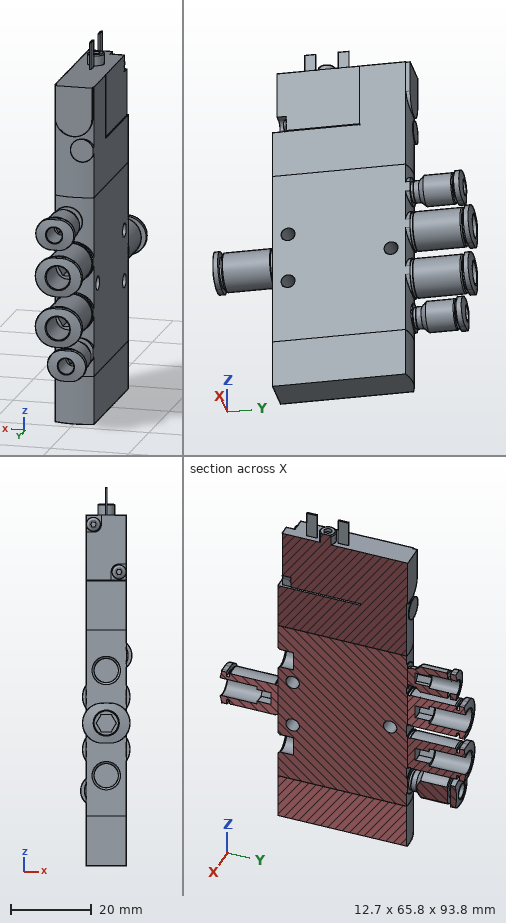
import cadquery as cq
import math


width = 9.9
half_width = width / 2
side_depth = 33.7
crown_depth = 34.6
seat_depth = 34.8
cap_top = 12.4
valve_top = 58.4
ledge_z = 70.6
head_top = 86.95
pin_top = 93.8
valve_mid_z = (cap_top + valve_top) / 2

port_pitch = 13.0
half_pitch = port_pitch / 2
outer_port_offset = 16.8
outer_port_shift = 1.5
port_diameter = 6.0
port_mouth_diameter = 7.0
port_depth = 4.0
port_mouth_depth = (port_mouth_diameter - port_diameter) / 2
large_boss_diameter = 10.2
small_boss_diameter = 7.4
rear_boss_embed = 0.9
mount_hole_diameter = 3.5
mount_front_y = 3.9
mount_rear_y = 30.0

coil_front_y = 1.1
coil_rear_y = 22.0
coil_gap = 0.3
coil_side_relief = 0.05
pad_half_width = half_width - 0.3
pad_round_z = 78.8
override_diameter = 5.9
override_x = -2.2
screw_inset_x = 1.8
screw_inset_z = 2.25
recess_radius = 2.0
recess_depth = 2.3
screw_diameter = 3.5
screw_height = 0.8
screw_dome = 0.75
socket_diameter = 1.4
socket_depth = 0.5
pin_length = pin_top - head_top
pin_width = 2.7
pin_thickness = 0.5
pin_pitch = 8.4
terminal_y = 12.8
boss_diameter = 4.2
boss_height = 2.8
boss_chamfer = 0.3
boss_hole_diameter = 2.0
boss_hole_depth = 0.9

large_length = 15.5
small_length = 13.2
collar_spread = 1.9
collar_taper = 0.4
hex_bottom = 1.9
bore_bottom = 5.6


def box(x_range, y_range, z_range):
    """A box between the given limits."""
    lows, highs = zip(x_range, y_range, z_range)
    sizes = [high - low for low, high in zip(lows, highs)]
    return cq.Workplane("XY").box(*sizes, centered=False).translate(lows)


def cylinder_y(diameter, x, z, y_start, y_end):
    """A cylinder along Y."""
    disc = cq.Workplane("XZ", origin=(x, y_start, z)).circle(diameter / 2)
    return disc.extrude(y_start - y_end)


def housing_block(z_low, z_high):
    """A slice of the housing with its crowned rear face."""
    return (
        cq.Workplane("XY", origin=(0, 0, z_low))
        .moveTo(-half_width, side_depth)
        .lineTo(-half_width, 0)
        .lineTo(half_width, 0)
        .lineTo(half_width, side_depth)
        .threePointArc((0, crown_depth), (-half_width, side_depth))
        .close()
        .extrude(z_high - z_low)
    )


def rear_boss(diameter, x, z):
    """A round boss on the rear face, cut flush with the housing's sides."""
    boss = cylinder_y(diameter, x, z, side_depth - rear_boss_embed, seat_depth)
    return boss.intersect(box((-half_width, half_width), (0, seat_depth), (0, head_top)))


def make_end_cap():
    return housing_block(0, cap_top)


def make_valve_block():
    block = housing_block(cap_top, valve_top)
    for side in (-1, 1):
        block = block.union(rear_boss(large_boss_diameter, 0, valve_mid_z + side * half_pitch))
        small_z = valve_mid_z + side * outer_port_offset
        block = block.union(rear_boss(small_boss_diameter, side * outer_port_shift, small_z))

    for side in (-1, 1):
        port_z = valve_mid_z + side * port_pitch
        block = block.cut(cylinder_y(port_diameter, 0, port_z, 0, port_depth))
        mouth = cq.Solid.makeCone(
            port_mouth_diameter / 2,
            port_diameter / 2,
            port_mouth_depth,
            pnt=cq.Vector(0, 0, port_z),
            dir=cq.Vector(0, 1, 0),
        )
        block = block.cut(cq.Workplane(mouth))

    holes = (
        cq.Workplane("YZ", origin=(-half_width, 0, 0))
        .pushPoints([
            (mount_front_y, valve_mid_z - half_pitch),
            (mount_front_y, valve_mid_z + half_pitch),
            (mount_rear_y, valve_mid_z),
        ])
        .circle(mount_hole_diameter / 2)
        .extrude(width)
    )
    return block.cut(holes)


def cover_screw():
    """A domed screw head with a hexagon socket, facing -Y from a base at y = 0."""
    head = cylinder_y(screw_diameter, 0, 0, -screw_height, 0).faces("<Y").edges().fillet(screw_dome)
    socket = cq.Workplane("XZ", origin=(0, -screw_height, 0)).polygon(6, socket_diameter)
    return head.cut(socket.extrude(-socket_depth))


def corner_recess():
    """A pocket round a screw at the origin, open to -X, +Z and the front."""
    x_range = (-screw_inset_x, recess_radius)
    pocket = box(x_range, (-recess_depth, 0), (-recess_radius, screw_inset_z))
    return pocket.edges("|Y and >X and <Z").fillet(recess_radius)


def make_pilot_head():
    head = housing_block(valve_top, head_top)

    head = head.cut(box((-half_width, half_width), (0, coil_front_y), (ledge_z, head_top)))
    head = head.cut(box((-half_width, half_width), (0, coil_rear_y), (ledge_z, ledge_z + coil_gap)))
    inner = half_width - coil_side_relief
    for x_range in ((-half_width, -inner), (inner, half_width)):
        head = head.cut(box(x_range, (0, coil_rear_y), (ledge_z, head_top)))

    head = head.cut(box((-half_width, half_width), (side_depth, seat_depth), (pad_round_z, head_top)))
    pad = box((-pad_half_width, pad_half_width), (side_depth, seat_depth), (pad_round_z, head_top))
    pad = pad.union(cylinder_y(2 * pad_half_width, 0, pad_round_z, side_depth, seat_depth))
    head = head.union(pad).union(rear_boss(override_diameter, override_x, ledge_z))

    face_mid_z = (ledge_z + head_top) / 2
    screw_place = (screw_inset_x - half_width, coil_front_y + recess_depth, head_top - screw_inset_z)
    for turn in (0, 180):
        axis = ((0, 0, face_mid_z), (0, 1, face_mid_z))
        head = head.cut(corner_recess().translate(screw_place).rotate(*axis, turn))
        head = head.union(cover_screw().translate(screw_place).rotate(*axis, turn))

    for side in (-1, 1):
        pin = cq.Workplane("XY", origin=(0, terminal_y + side * pin_pitch / 2, head_top))
        head = head.union(pin.rect(pin_thickness, pin_width).extrude(pin_length))
    boss = cq.Workplane("XY", origin=(0, terminal_y, head_top)).circle(boss_diameter / 2)
    boss = boss.extrude(boss_height).faces(">Z").chamfer(boss_chamfer)
    boss = boss.faces(">Z").workplane().hole(boss_hole_diameter, boss_hole_depth)
    return head.union(boss)


def fitting(outline, length, body_diameter, collar_start, bore, mouth, hex_flats):
    """A push-in fitting along +Y from its base at the origin.

    `outline` lists the (radius, height) corners of the sleeve from its base to the collar.
    """
    axis = ((0, 0), (0, 1))
    sleeve = cq.Workplane("XY").polyline([(0, 0), *outline, (0, collar_start)]).close()
    sleeve = sleeve.revolve(360, *axis)

    collar = cq.Workplane("XZ", origin=(0, collar_start, 0))
    collar = collar.slot2D(body_diameter + collar_spread, body_diameter)
    collar = collar.extrude(collar_start - length)
    rim_radius = mouth / 2
    slope = collar_taper / (body_diameter / 2 - rim_radius)
    cone_low = length - slope * (body_diameter - rim_radius)
    cone = (
        cq.Workplane("XY")
        .polyline([
            (0, 0),
            (body_diameter, 0),
            (body_diameter, cone_low),
            (rim_radius, length),
            (0, length),
        ])
        .close()
        .revolve(360, *axis)
    )
    solid = sleeve.union(collar.intersect(cone))

    mouth_depth = (mouth - bore) / 2
    bore_cut = (
        cq.Workplane("XY")
        .polyline([
            (0, bore_bottom),
            (bore / 2, bore_bottom),
            (bore / 2, length - mouth_depth),
            (mouth / 2, length),
            (0, length),
        ])
        .close()
        .revolve(360, *axis)
    )
    hexagon = cq.Workplane("XZ", origin=(0, hex_bottom, 0))
    hexagon = hexagon.polygon(6, hex_flats / math.cos(math.pi / 6)).extrude(hex_bottom - bore_bottom)
    return solid.cut(bore_cut).cut(hexagon)


def make_large_fitting():
    """Fitting with a straight sleeve on a slightly narrower root."""
    sleeve_radius = 5.0
    root_radius = 4.8
    neck_radius = 3.9
    root_height = 0.6
    sleeve_start = 0.75
    sleeve_end = 13.0
    sleeve_chamfer = 0.4
    collar_start = 13.7
    outline = [
        (root_radius, 0),
        (root_radius, root_height),
        (sleeve_radius, sleeve_start),
        (sleeve_radius, sleeve_end - sleeve_chamfer),
        (root_radius, sleeve_end),
        (neck_radius, sleeve_end),
        (neck_radius, collar_start),
    ]
    return fitting(
        outline,
        length=large_length,
        body_diameter=2 * sleeve_radius,
        collar_start=collar_start,
        bore=6.0,
        mouth=6.5,
        hex_flats=4.3,
    )


def make_small_fitting():
    """Fitting whose sleeve tapers down to a narrower stem and root."""
    sleeve_radius = 3.9
    stem_radius = 2.8
    root_radius = 2.6
    neck_radius = 2.3
    root_height = 0.6
    stem_start = 0.75
    stem_end = 2.1
    sleeve_start = 3.4
    sleeve_end = 10.7
    chamfer_height = 0.3
    chamfer_width = 0.2
    collar_start = 11.35
    outline = [
        (root_radius, 0),
        (root_radius, root_height),
        (stem_radius, stem_start),
        (stem_radius, stem_end),
        (sleeve_radius, sleeve_start),
        (sleeve_radius, sleeve_end - chamfer_height),
        (sleeve_radius - chamfer_width, sleeve_end),
        (neck_radius, sleeve_end),
        (neck_radius, collar_start),
    ]
    return fitting(
        outline,
        length=small_length,
        body_diameter=2 * sleeve_radius,
        collar_start=collar_start,
        bore=4.0,
        mouth=4.4,
        hex_flats=3.0,
    )


end_cap = make_end_cap()
valve_block = make_valve_block()
pilot_head = make_pilot_head()

front_fitting = make_large_fitting().rotate((0, 0, 0), (0, 0, 1), 180).translate((0, 0, valve_mid_z))
rear_fittings = []
for side in (-1, 1):
    large_place = (0, seat_depth, valve_mid_z + side * half_pitch)
    small_place = (side * outer_port_shift, seat_depth, valve_mid_z + side * outer_port_offset)
    rear_fittings.append(make_large_fitting().translate(large_place).val())
    rear_fittings.append(make_small_fitting().translate(small_place).val())

result = cq.Compound.makeCompound([
    end_cap.val(),
    valve_block.val(),
    pilot_head.val(),
    front_fitting.val(),
    *rear_fittings,
])